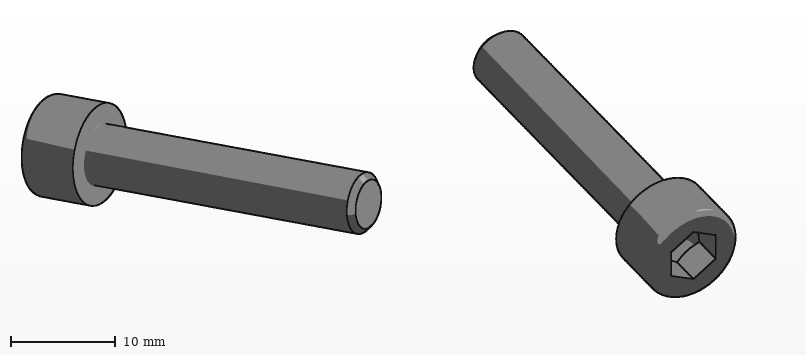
import cadquery as cq
import math

total_length = 36.0
head_diameter = 10.0
shank_diameter = 6.0
head_length = shank_diameter
head_fillet = 0.6
underhead_fillet = 0.1
tip_chamfer = 0.6

socket_across_flats = 5.0
socket_depth = head_length / 2
socket_cone_angle = 120.0


def make_head():
    head = cq.Workplane("YZ").circle(head_diameter / 2).extrude(head_length)
    return head.faces("<X").edges().fillet(head_fillet)


def make_shank():
    shank = cq.Workplane("YZ").circle(shank_diameter / 2).extrude(total_length)
    return shank.faces(">X").edges().chamfer(tip_chamfer)


def fillet_under_head(screw):
    margin = (head_diameter - shank_diameter) / 4
    reach = shank_diameter / 2 + margin
    junction = cq.selectors.BoxSelector(
        (head_length - margin, -reach, -reach),
        (head_length + margin, reach, reach),
        boundingbox=True,
    )
    return screw.edges(junction).fillet(underhead_fillet)


def make_socket():
    corner_radius = socket_across_flats / 2 / math.cos(math.radians(30))
    cone_depth = corner_radius / math.tan(math.radians(socket_cone_angle / 2))
    full_depth = socket_depth + cone_depth
    hexagon = (
        cq.Workplane("YZ")
        .transformed(rotate=(0, 0, 90))
        .polygon(6, 2 * corner_radius)
        .extrude(full_depth)
    )
    envelope = (
        cq.Workplane("XY")
        .polyline([(0, 0), (0, corner_radius), (socket_depth, corner_radius), (full_depth, 0)])
        .close()
        .revolve(360, (0, 0, 0), (1, 0, 0))
    )
    return hexagon.intersect(envelope)


screw_body = fillet_under_head(make_head().union(make_shank()))
result = screw_body.cut(make_socket())